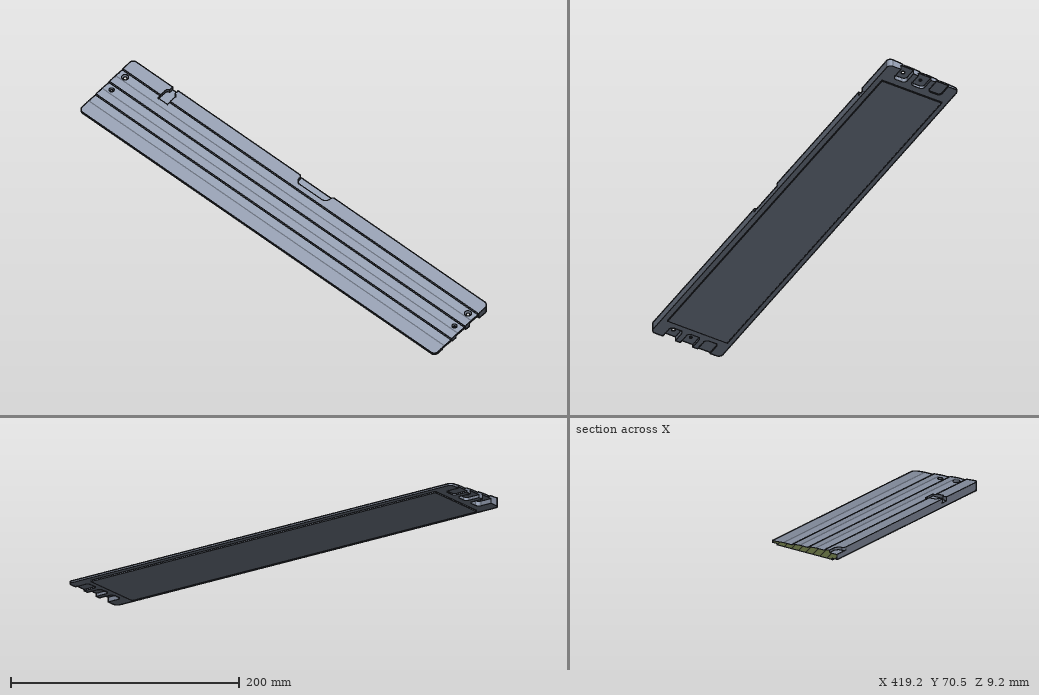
import cadquery as cq

length = 419.2
width = 70.5
back_height = 9.2
front_height = 3.15
corner_radius = 4.0

pad_thickness = 1.3
pad_inset_x = 21.0
pad_inset_y = 5.0

groove_count = 3
groove_pitch = 17.5
groove_width = 9.5
first_wall_setback = 13.0
wall_run = 1.0

pocket_width = 12.5
pocket_length = 14.3
pocket_radius = 3.5
pocket_roof = 1.5

hole_end_distance = 7.5
hole_setback = 5.5
screw_diameter = 3.4
screw_countersink = 6.3
pin_diameter = 2.4
pin_countersink = 4.5

notch_from_end = 50.5
notch_width = 11.5
neck_width = 6.3
neck_length = 4.0
notch_length = 16.8
shoulder_radius = 2.0
notch_floor = 5.5

recess_offset = 7.5
recess_length = 36.0
recess_depth = 8.0
recess_radius = 5.0
mouth_radius = 2.5
recess_floor = 6.3

back = width / 2
left = -length / 2
slope = (back_height - front_height) / width


def top_at(setback):
    """Height of the sloping top at a distance in front of the back edge."""
    return back_height - slope * setback


def wall_setback(index):
    return first_wall_setback + index * groove_pitch


def floor_height(index):
    """The level floor runs out where it meets the sloping top."""
    return top_at(wall_setback(index) + groove_width)


def hole_row(index):
    """Y position of the holes in a groove and of the pockets below it."""
    return back - wall_setback(index) - hole_setback


def box(size_x, size_y, bottom, top, center_x, center_y):
    return (
        cq.Workplane("XY", origin=(center_x, center_y, bottom))
        .rect(size_x, size_y)
        .extrude(top - bottom)
    )


def grooved_wedge():
    profile = [(-back, pad_thickness), (back, pad_thickness), (back, back_height)]
    for index in range(groove_count):
        setback = wall_setback(index)
        profile.append((back - setback, top_at(setback)))
        profile.append((back - setback - wall_run, floor_height(index)))
        profile.append((back - setback - groove_width, floor_height(index)))
    profile.append((-back, front_height))
    wedge = cq.Workplane("YZ", origin=(left, 0, 0)).polyline(profile).close().extrude(length)
    outline = box(length, width, 0, back_height, 0, 0).edges("|Z").fillet(corner_radius)
    return wedge.intersect(outline)


def underside_pad():
    return box(length - 2 * pad_inset_x, width - 2 * pad_inset_y, 0, pad_thickness, 0, 0)


def end_pocket(side, index):
    """Pocket open to the end and to the underside, with a rounded inner end."""
    center_y = hole_row(index)
    roof = floor_height(index) - pocket_roof
    pocket = box(2 * pocket_length, pocket_width, 0, roof, side * length / 2, center_y)
    return pocket.edges("|Z").fillet(pocket_radius)


def hole_workplane(side, index):
    center_x = side * (length / 2 - hole_end_distance)
    center_y = hole_row(index)
    return cq.Workplane("XY", origin=(center_x, center_y, floor_height(index)))


def countersunk_hole(side, index, bore_diameter, countersink_diameter):
    """Bore down from a groove floor with a 90 degree countersink."""
    cone_depth = (countersink_diameter - bore_diameter) / 2
    bore = hole_workplane(side, index).circle(bore_diameter / 2).extrude(-back_height)
    cone = (
        hole_workplane(side, index)
        .circle(countersink_diameter / 2)
        .workplane(offset=-cone_depth)
        .circle(bore_diameter / 2)
        .loft()
    )
    return bore.union(cone)


def keyhole_notch():
    center_x = left + notch_from_end
    head_length = notch_length - neck_length
    head_y = back - neck_length - head_length / 2
    head = box(notch_width, head_length, notch_floor, back_height, center_x, head_y)
    head = head.edges("|Z and >Y").fillet(shoulder_radius)
    neck = box(neck_width, 2 * neck_length, notch_floor, back_height, center_x, back - neck_length)
    return head.union(neck)


def finger_recess():
    """Recess with rounded inner corners and a mouth that flares out into the back edge."""
    half = recess_length / 2
    mouth = half + mouth_radius
    inner = back - recess_depth
    return (
        cq.Workplane("XY", origin=(recess_offset, 0, recess_floor))
        .moveTo(-mouth, back)
        .radiusArc((-half, back - mouth_radius), mouth_radius)
        .lineTo(-half, inner + recess_radius)
        .radiusArc((-half + recess_radius, inner), -recess_radius)
        .lineTo(half - recess_radius, inner)
        .radiusArc((half, inner + recess_radius), -recess_radius)
        .lineTo(half, back - mouth_radius)
        .radiusArc((mouth, back), mouth_radius)
        .close()
        .extrude(back_height - recess_floor)
    )


result = grooved_wedge().union(underside_pad())
result = result.cut(keyhole_notch()).cut(finger_recess())
for side in (-1, 1):
    for index in range(groove_count):
        result = result.cut(end_pocket(side, index))
    result = result.cut(countersunk_hole(side, 0, screw_diameter, screw_countersink))
    result = result.cut(countersunk_hole(side, 1, pin_diameter, pin_countersink))